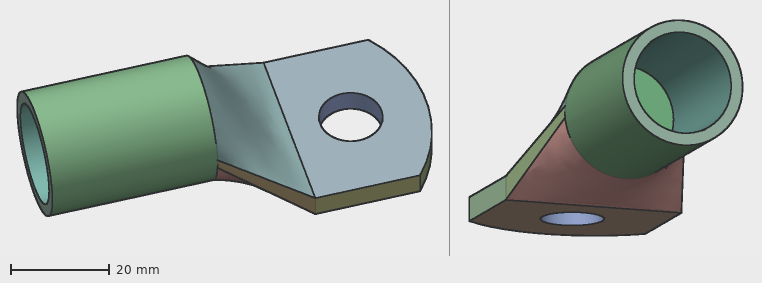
import cadquery as cq
import math


BARREL_DIAMETER = 26.0
BORE_DIAMETER = 21.0
BARREL_LENGTH = 35.0
BORE_DEPTH = BARREL_LENGTH
BARREL_LIFT = 2.0

PALM_WIDTH = 38.0
PALM_THICKNESS = 5.0
PALM_LENGTH = 29.0
PALM_TIP_RISE = 6.8
HOLE_DIAMETER = 13.0
HOLE_FROM_TIP = 16.0

NECK_LENGTH = 19.0
NECK_SIDE_HEIGHT = 2.4
NECK_STEPS = 6

barrel_radius = BARREL_DIAMETER / 2
barrel_axis_z = BARREL_LIFT + barrel_radius
barrel_top_z = BARREL_LIFT + BARREL_DIAMETER
side_half_height = NECK_SIDE_HEIGHT / 2
side_corner_x = math.sqrt(barrel_radius**2 - side_half_height**2)
palm_half_width = PALM_WIDTH / 2
palm_start_y = NECK_LENGTH
palm_tip_y = palm_start_y + PALM_LENGTH
palm_corner_y = palm_tip_y - PALM_TIP_RISE


def blend(start, end, fraction):
    return start + (end - start) * fraction


def make_barrel():
    return (
        cq.Workplane("XZ")
        .center(0, barrel_axis_z)
        .circle(barrel_radius)
        .extrude(BARREL_LENGTH)
    )


def make_bore():
    mouth = cq.Workplane("XZ", origin=(0, -BARREL_LENGTH, barrel_axis_z))
    return mouth.circle(BORE_DIAMETER / 2).extrude(-BORE_DEPTH)


def make_palm():
    blank = (
        cq.Workplane("XY")
        .moveTo(-palm_half_width, palm_start_y)
        .lineTo(palm_half_width, palm_start_y)
        .lineTo(palm_half_width, palm_corner_y)
        .threePointArc((0, palm_tip_y), (-palm_half_width, palm_corner_y))
        .close()
        .extrude(PALM_THICKNESS)
    )
    hole = (
        cq.Workplane("XY")
        .center(0, palm_tip_y - HOLE_FROM_TIP)
        .circle(HOLE_DIAMETER / 2)
        .extrude(PALM_THICKNESS)
    )
    return blank.cut(hole)


def neck_section(fraction):
    """Closed cross-section of the neck; fraction runs from 0 at the palm to 1 at the barrel."""
    y = blend(palm_start_y, 0, fraction)
    corner_x = blend(palm_half_width, side_corner_x, fraction)
    side_x = blend(palm_half_width, barrel_radius, fraction)
    upper_z = blend(PALM_THICKNESS, barrel_axis_z + side_half_height, fraction)
    lower_z = blend(0, barrel_axis_z - side_half_height, fraction)
    side_z = (upper_z + lower_z) / 2
    crown_z = blend(PALM_THICKNESS, barrel_top_z, 2 * fraction**2 - fraction**3)
    belly_z = blend(0, BARREL_LIFT, fraction)

    upper_left = cq.Vector(-corner_x, y, upper_z)
    upper_right = cq.Vector(corner_x, y, upper_z)
    lower_left = cq.Vector(-corner_x, y, lower_z)
    lower_right = cq.Vector(corner_x, y, lower_z)
    if fraction == 0:
        corners = [upper_left, upper_right, lower_right, lower_left]
        return cq.Wire.makePolygon(corners, close=True)

    edges = [
        cq.Edge.makeThreePointArc(upper_left, cq.Vector(0, y, crown_z), upper_right),
        cq.Edge.makeThreePointArc(upper_right, cq.Vector(side_x, y, side_z), lower_right),
        cq.Edge.makeThreePointArc(lower_right, cq.Vector(0, y, belly_z), lower_left),
        cq.Edge.makeThreePointArc(lower_left, cq.Vector(-side_x, y, side_z), upper_left),
    ]
    return cq.Wire.assembleEdges(edges)


def make_neck():
    sections = [neck_section(step / NECK_STEPS) for step in range(NECK_STEPS + 1)]
    return cq.Workplane(cq.Solid.makeLoft(sections))


result = make_barrel().union(make_neck()).union(make_palm()).cut(make_bore())